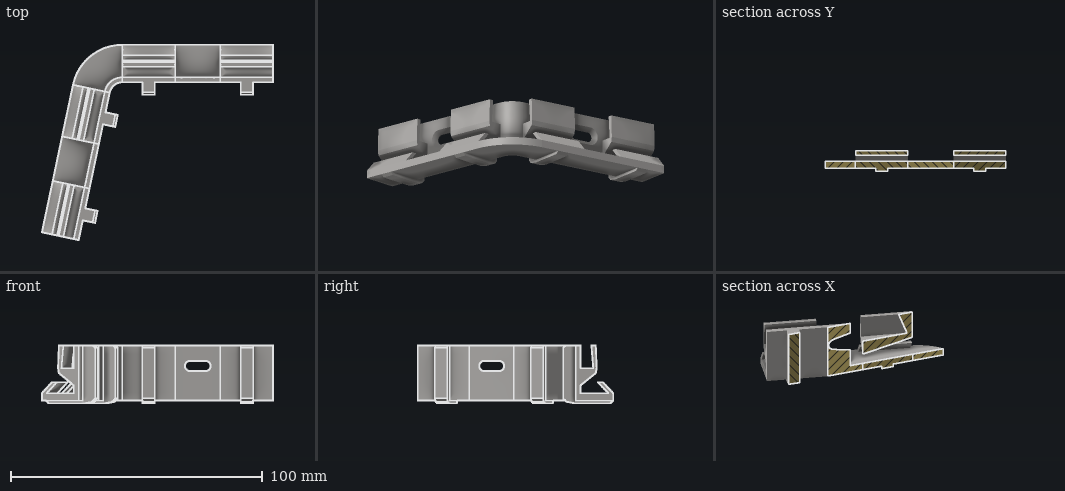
import cadquery as cq
import math

overall_length = 91.9
bracket_angle = 101.9
turn_angle = 180.0 - bracket_angle
clip_length = 21.0
plate_length = 18.0
arm_length = 2 * clip_length + plate_length

floor_width = 15.0
floor_thickness = 3.0
wall_height = 22.0
wall_thickness = 2.0
wall_face = floor_width - wall_thickness

lean = math.radians(bracket_angle - 90.0)
outer_radius = (overall_length - arm_length * (1 + math.sin(lean))) / math.cos(lean)
inner_radius = outer_radius - floor_width
wall_outer_radius = inner_radius + wall_thickness

lip_rise = 4.3
lip_lean = 4.1
lip_thickness = 2.0

flange_top_offset = 6.9
flange_belly_offset = 6.5
flange_top_thickness = 1.8
flange_root_thickness = 1.5
channel_floor_height = 13.0
web_outer_height = 10.9
web_wall_height = 6.1

rib_width = 5.0
rib_reach = 5.0
rib_depth = 1.1
rib_chamfer = 1.0
rib_bevel_start = 15.35
rib_bevel_end = 18.7
rib_bevel_end_height = -0.5
rib_back_start_height = 0.9

slot_length = 10.1
slot_height = 3.95
slot_level = 13.8
countersink = 1.7
countersink_taper = 45


def along_x(section, start, length):
    """Extrude a section of (distance inward from the outer edge, height) points along +X."""
    points = [(outer_radius - offset, height) for offset, height in section]
    return cq.Workplane("YZ", origin=(start, 0, 0)).polyline(points).close().extrude(length)


def l_section(start, length):
    """Plain floor and wall of one segment."""
    return along_x(
        [
            (0, 0),
            (floor_width, 0),
            (floor_width, wall_height),
            (wall_face, wall_height),
            (wall_face, floor_thickness),
            (0, floor_thickness),
        ],
        start, length,
    )


def lip(start):
    lip_top = floor_thickness + lip_rise
    return along_x(
        [
            (0, floor_thickness),
            (lip_thickness, floor_thickness),
            (lip_thickness + lip_lean, lip_top),
            (lip_lean, lip_top),
        ],
        start, clip_length,
    )


def flange(start):
    return along_x(
        [
            (wall_face, web_wall_height),
            (flange_top_offset, web_outer_height),
            (flange_belly_offset, channel_floor_height),
            (flange_top_offset, wall_height),
            (flange_top_offset + flange_top_thickness, wall_height),
            (flange_belly_offset + flange_root_thickness, channel_floor_height),
            (wall_face, channel_floor_height),
        ],
        start, clip_length,
    )


def rib(start):
    rib_back = floor_width + rib_reach
    return along_x(
        [
            (0, 0),
            (rib_depth, -rib_depth),
            (rib_bevel_start, -rib_depth),
            (rib_bevel_end, rib_bevel_end_height),
            (rib_back, rib_back_start_height),
            (rib_back, wall_height - rib_chamfer),
            (rib_back - rib_chamfer, wall_height),
            (floor_width, wall_height),
            (floor_width, 0),
        ],
        start + (clip_length - rib_width) / 2, rib_width,
    )


def make_clip(start):
    """End segment of an arm: gripping lip and flange, with a stiffening rib behind."""
    return l_section(start, clip_length).union(lip(start)).union(flange(start)).union(rib(start))


def make_plate(start):
    """Middle segment of an arm: plain L section with a slot countersunk from the floor side."""
    middle = start + plate_length / 2
    wall_face_plane = cq.Workplane("XZ", origin=(middle, outer_radius - wall_face, slot_level))
    slot = wall_face_plane.slot2D(slot_length, slot_height).extrude(wall_thickness)
    cone = (
        wall_face_plane
        .slot2D(slot_length + 2 * countersink, slot_height + 2 * countersink)
        .extrude(countersink, taper=countersink_taper)
    )
    return l_section(start, plate_length).cut(slot).cut(cone)


def make_corner():
    """Bend between the arms: the L section swept round the Z axis."""
    section = [
        (inner_radius, 0),
        (outer_radius, 0),
        (outer_radius, floor_thickness),
        (wall_outer_radius, floor_thickness),
        (wall_outer_radius, wall_height),
        (inner_radius, wall_height),
    ]
    bend = cq.Workplane("YZ").polyline(section).close().revolve(turn_angle, (0, 0), (0, 1))
    return bend


def to_slanted_arm(body):
    """Mirror a segment of the straight arm and swing it round the bend."""
    return body.mirror("YZ").rotate((0, 0, 0), (0, 0, 1), turn_angle)


corner = make_corner()
plate = make_plate(clip_length)
clips = [make_clip(start) for start in (0, clip_length + plate_length)]

straight_arm = clips + [plate]
slanted_arm = [to_slanted_arm(segment) for segment in straight_arm]

result = cq.Compound.makeCompound([body.val() for body in [corner, *straight_arm, *slanted_arm]])